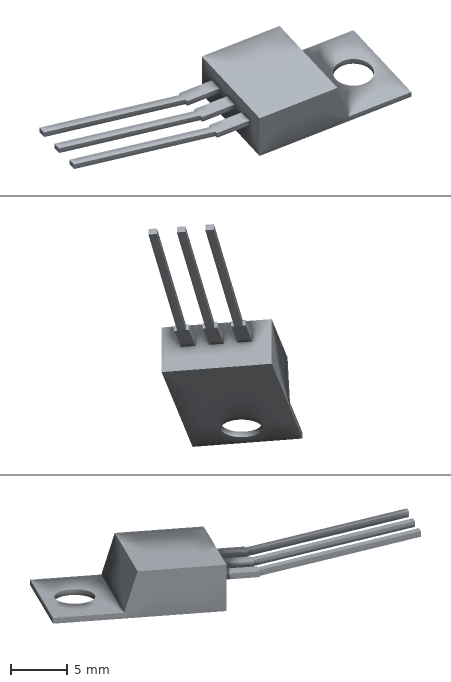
import cadquery as cq

length = 33.92
width = 9.97
height = 5.5

tab_back = length / 2
lead_tip = -length / 2

sheet_thickness = 0.55
tab_length = 6.48
hole_diameter = 3.65
hole_from_back = 3.02
tab_front = tab_back - tab_length

housing_height = 4.4
housing_length = 9.33
slope_run = 1.22
housing_front = tab_front - housing_length

lead_count = 3
lead_pitch = 2.58
root_width = 1.32
root_length = 3.4
shank_width = 0.78
lead_bottom = 2.35
lead_top = lead_bottom + sheet_thickness
root_end = housing_front - root_length
shank_rise = height - lead_top
lead_positions = [(i - (lead_count - 1) / 2) * lead_pitch for i in range(lead_count)]

tongue_length = 6.8
tongue_width = (lead_count - 1) * lead_pitch + root_width
tongue_end = tab_front - tongue_length
riser_back = tongue_end + sheet_thickness


def block(x_center, x_size, y_range, z_range):
    """Box given by its centre and size in X and its limits in Y and Z."""
    y_low, y_high = y_range
    z_low, z_high = z_range
    return (
        cq.Workplane("XY")
        .box(x_size, y_high - y_low, z_high - z_low, centered=(True, False, False))
        .translate((x_center, y_low, z_low))
    )


def make_tab():
    """Full-width mounting plate with its screw hole."""
    plate = block(0, width, (tab_front, tab_back), (0, sheet_thickness))
    hole = (
        cq.Workplane("XY")
        .center(0, tab_back - hole_from_back)
        .circle(hole_diameter / 2)
        .extrude(sheet_thickness)
    )
    return plate.cut(hole)


def make_tongue():
    """Narrower continuation of the tab, turned up to the height of the leads."""
    floor = block(0, tongue_width, (tongue_end, tab_front), (0, sheet_thickness))
    riser = block(0, tongue_width, (tongue_end, riser_back), (0, lead_top))
    return floor.union(riser)


def make_lead(x_center):
    """One lead: a level root from the riser, then a narrow shank sloping up to the tip."""
    root = block(x_center, root_width, (root_end, tongue_end), (lead_bottom, lead_top))
    shank = (
        cq.Workplane("YZ", origin=(x_center, 0, 0))
        .moveTo(root_end, lead_bottom)
        .lineTo(root_end, lead_top)
        .lineTo(lead_tip, lead_top + shank_rise)
        .lineTo(lead_tip, lead_bottom + shank_rise)
        .close()
        .extrude(shank_width / 2, both=True)
    )
    return root.union(shank)


def make_lead_frame():
    """Tab, tongue and leads, all one piece of sheet metal."""
    frame = make_tab().union(make_tongue())
    for x_center in lead_positions:
        frame = frame.union(make_lead(x_center))
    return frame.solids()


def make_housing(frame):
    """Plastic block moulded around the tongue, the riser and the roots of the leads."""
    body = (
        cq.Workplane("YZ")
        .moveTo(housing_front, 0)
        .lineTo(housing_front, housing_height)
        .lineTo(tab_front - slope_run, housing_height)
        .lineTo(tab_front, sheet_thickness)
        .lineTo(tab_front, 0)
        .close()
        .extrude(width / 2, both=True)
    )
    return body.cut(frame).solids()


lead_frame = make_lead_frame()
housing = make_housing(lead_frame)

result = cq.Compound.makeCompound([lead_frame.val(), housing.val()])